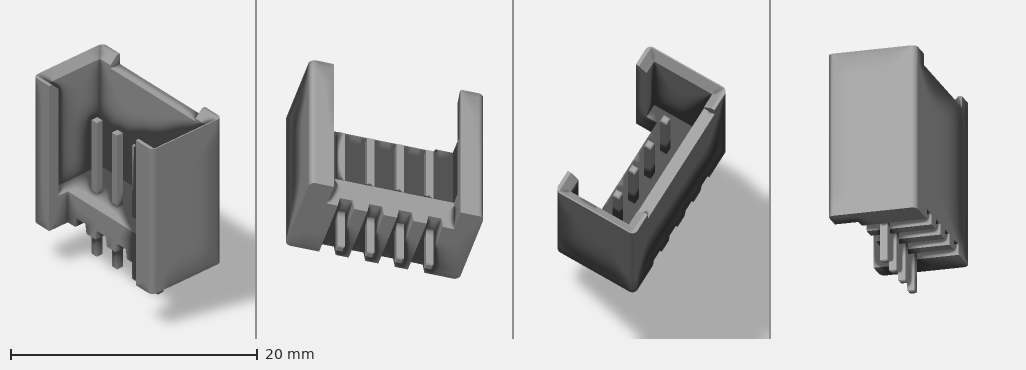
import cadquery as cq

housing_length = 14.7
housing_depth = 7.5
housing_height = 14.0
corner_radius = 0.5

end_wall = 0.8
side_wall = 1.01
floor_height = 3.0
mouth_chamfer = 0.7

front_opening_width = 10.7
front_opening_depth = 2.0
back_notch_width = 10.5
back_notch_depth = 1.0

overall_height = 17.1
pin_count = 4
pin_pitch = 2.5
pin_size = 0.63
pin_chamfer = 0.1
pin_top = 10.0
pin_bottom = housing_height - overall_height

slot_top_width = 1.1
slot_bottom_width = 1.39
slot_height = 0.9

cavity_length = housing_length - 2 * end_wall
cavity_depth = housing_depth - 2 * side_wall
front_y = -housing_depth / 2
back_y = housing_depth / 2
pin_positions = [(i - (pin_count - 1) / 2) * pin_pitch for i in range(pin_count)]


def block(length, depth, bottom, top):
    """Box centred on the Z axis, spanning bottom to top."""
    return cq.Workplane("XY").workplane(offset=bottom).rect(length, depth).extrude(top - bottom)


def make_shell():
    """Round-cornered box hollowed down to the floor, with a mouth flared at 45 degrees."""
    outer = block(housing_length, housing_depth, 0, housing_height).edges("|Z").fillet(corner_radius)
    cavity = block(cavity_length, cavity_depth, floor_height, housing_height)
    flare = (
        cq.Workplane("XY")
        .workplane(offset=housing_height - mouth_chamfer)
        .rect(cavity_length, cavity_depth)
        .workplane(offset=mouth_chamfer)
        .rect(cavity_length + 2 * mouth_chamfer, cavity_depth + 2 * mouth_chamfer)
        .loft(ruled=True)
    )
    return outer.cut(cavity).cut(flare)


def make_front_opening():
    """Full-height gap in the front wall that also sets back the floor."""
    opening = block(front_opening_width, 2 * front_opening_depth, 0, housing_height)
    return opening.translate((0, front_y, 0))


def make_back_notch():
    """Shallow gap in the top of the back wall."""
    notch_floor = housing_height - back_notch_depth
    return block(back_notch_width, 2 * side_wall, notch_floor, housing_height).translate((0, back_y, 0))


def make_slot(x):
    """Slot narrowing upwards, running through the base from front to back."""
    return (
        cq.Workplane("XZ", origin=(x, back_y, 0))
        .moveTo(-slot_bottom_width / 2, 0)
        .lineTo(-slot_top_width / 2, slot_height)
        .lineTo(slot_top_width / 2, slot_height)
        .lineTo(slot_bottom_width / 2, 0)
        .close()
        .extrude(housing_depth)
    )


def make_pin(x):
    """Square pin with both tips chamfered."""
    pin = block(pin_size, pin_size, pin_bottom, pin_top)
    return pin.faces("<Z or >Z").chamfer(pin_chamfer).translate((x, 0, 0))


result = make_shell().cut(make_front_opening()).cut(make_back_notch())
for pin_x in pin_positions:
    result = result.cut(make_slot(pin_x))
for pin_x in pin_positions:
    result = result.union(make_pin(pin_x))